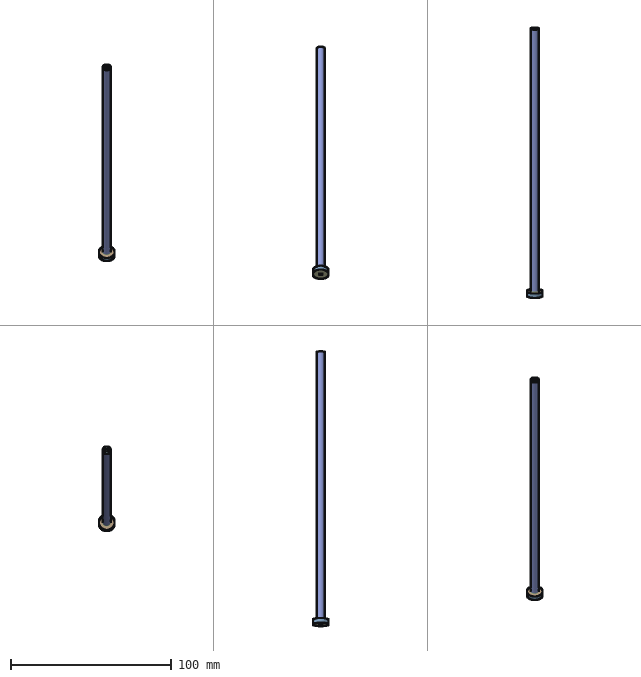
import cadquery as cq

total_length = 175.0
head_diameter = 10.0
head_height = 3.0
shank_diameter = 5.0
bore_diameter = 2.0
neck_fillet = 0.3


def revolved_body():
    """Head and shank in one profile, with a concave fillet where they meet."""
    head_radius = head_diameter / 2
    shank_radius = shank_diameter / 2
    fillet_start = (shank_radius + neck_fillet, head_height)
    fillet_end = (shank_radius, head_height + neck_fillet)
    profile = (
        cq.Workplane("XZ")
        .lineTo(head_radius, 0)
        .lineTo(head_radius, head_height)
        .lineTo(*fillet_start)
        .radiusArc(fillet_end, neck_fillet)
        .lineTo(shank_radius, total_length)
        .lineTo(0, total_length)
        .close()
    )
    return profile.revolve(360, (0, 0), (0, 1))


def bore():
    """Straight hole through the full length."""
    return cq.Workplane("XY").circle(bore_diameter / 2).extrude(total_length)


result = revolved_body().cut(bore())